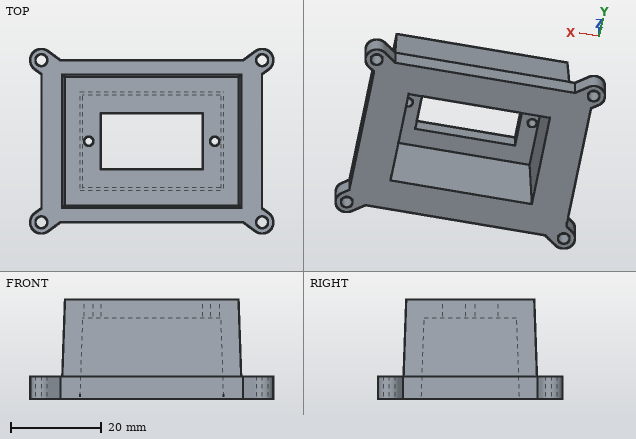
import cadquery as cq
import math

overall_length = 54.0
overall_width = 41.0
ear_diameter = 5.0
ear_hole_diameter = 2.6
flange_thickness = 5.0
flange_length = overall_length - ear_diameter
flange_width = overall_width - ear_diameter

overall_height = 22.1
housing_top_length = 38.55
housing_top_width = 28.45
housing_taper_inset = 0.6
wall_thickness = 4.1
housing_height = overall_height - flange_thickness
inset_per_height = housing_taper_inset / housing_height

window_length = 22.5
window_width = 12.3
screw_hole_diameter = 2.0
screw_spacing = 27.95


def tapered_block(top_length, top_width, bottom_z, top_z):
    """Rectangular block whose four sides widen downwards at the housing taper."""
    height = top_z - bottom_z
    widening = 2 * inset_per_height * height
    return (
        cq.Workplane("XY", origin=(0, 0, bottom_z))
        .rect(top_length + widening, top_width + widening)
        .workplane(offset=height)
        .rect(top_length, top_width)
        .loft(ruled=True)
    )


def flange():
    """Plate whose ears are the round ends of two crossing diagonal straps."""
    body = cq.Workplane("XY").rect(flange_length, flange_width).extrude(flange_thickness)
    diagonal = math.hypot(flange_length, flange_width)
    diagonal_angle = math.degrees(math.atan2(flange_width, flange_length))
    for angle in (diagonal_angle, -diagonal_angle):
        strap = (
            cq.Workplane("XY")
            .slot2D(diagonal + ear_diameter, ear_diameter, angle)
            .extrude(flange_thickness)
        )
        body = body.union(strap)
    return body


def ear_holes():
    return (
        cq.Workplane("XY")
        .rect(flange_length, flange_width, forConstruction=True)
        .vertices()
        .circle(ear_hole_diameter / 2)
        .extrude(flange_thickness)
    )


def cavity():
    """Hollow open at the bottom, with its sides parallel to the housing sides."""
    roof_z = overall_height - wall_thickness
    side_offset = 2 * (wall_thickness - inset_per_height * wall_thickness)
    return tapered_block(
        housing_top_length - side_offset, housing_top_width - side_offset, 0, roof_z
    )


def roof_openings():
    window = cq.Workplane("XY").rect(window_length, window_width).extrude(overall_height)
    screw_holes = (
        cq.Workplane("XY")
        .pushPoints([(-screw_spacing / 2, 0), (screw_spacing / 2, 0)])
        .circle(screw_hole_diameter / 2)
        .extrude(overall_height)
    )
    return window.union(screw_holes)


housing = tapered_block(housing_top_length, housing_top_width, flange_thickness, overall_height)

result = flange().union(housing).cut(ear_holes()).cut(cavity()).cut(roof_openings())